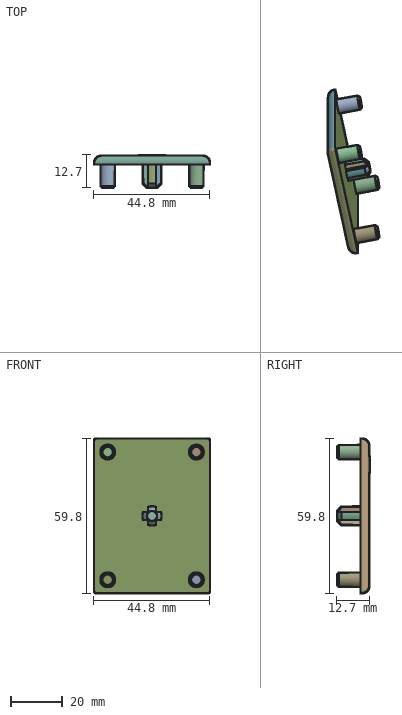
import cadquery as cq
import math

PLATE_WIDTH = 44.8
PLATE_HEIGHT = 59.8
RIM_THICKNESS = 0.5
EDGE_RADIUS = 3.0
PLATE_THICKNESS = RIM_THICKNESS + EDGE_RADIUS
CORNER_RADIUS = 1.0

PAD_LENGTH = 10.0
PAD_HEIGHT = 6.2
PAD_RAISE = 0.2
PAD_CENTER_Z = 19.8

PEG_LENGTH = 9.0
DRAFT_ANGLE = 0.5
PEG_INSET = 5.3
PEG_BASE_RADIUS = 2.85
PEG_TIP_RADIUS = 2.05
PEG_CHAMFER_LENGTH = 0.8

CROSS_BASE_RADIUS = 3.75
CROSS_TIP_RADIUS = 1.95
CROSS_CHAMFER_LENGTH = 1.65
CROSS_ARM_WIDTH = 3.0


def rounded_slab(plane, span, length):
    """Bar whose section has a straight rim and quarter-round outer edges."""
    half = span / 2
    flat = half - EDGE_RADIUS
    bulge = EDGE_RADIUS * math.sqrt(0.5)
    arc_y = RIM_THICKNESS + bulge
    return (
        cq.Workplane(plane)
        .moveTo(-half, 0)
        .lineTo(half, 0)
        .lineTo(half, RIM_THICKNESS)
        .threePointArc((flat + bulge, arc_y), (flat, PLATE_THICKNESS))
        .lineTo(-flat, PLATE_THICKNESS)
        .threePointArc((-flat - bulge, arc_y), (-half, RIM_THICKNESS))
        .close()
        .extrude(length / 2, both=True)
    )


def make_plate():
    """Plate with rounded outer edges on all four sides and softened corners."""
    upright_plane = cq.Plane(origin=(0, 0, 0), xDir=(0, 0, -1), normal=(1, 0, 0))
    across = rounded_slab("XY", PLATE_WIDTH, PLATE_HEIGHT)
    upright = rounded_slab(upright_plane, PLATE_HEIGHT, PLATE_WIDTH)
    plate = across.intersect(upright)
    return plate.edges("|Y").fillet(CORNER_RADIUS)


def make_pad():
    """Oval pad standing slightly proud of the outer face."""
    return (
        cq.Workplane("XZ")
        .center(0, PAD_CENTER_Z)
        .ellipse(PAD_LENGTH / 2, PAD_HEIGHT / 2)
        .extrude(-(PLATE_THICKNESS + PAD_RAISE))
    )


def tapered_pin(base_radius, tip_radius, chamfer_length):
    """Drafted round pin along -Y from the mounting face, with a conical lead-in."""
    shank_length = PEG_LENGTH - chamfer_length
    shank_end_radius = base_radius - shank_length * math.tan(math.radians(DRAFT_ANGLE))
    return (
        cq.Workplane("XY")
        .moveTo(0, 0)
        .lineTo(base_radius, 0)
        .lineTo(shank_end_radius, -shank_length)
        .lineTo(tip_radius, -PEG_LENGTH)
        .lineTo(0, -PEG_LENGTH)
        .close()
        .revolve(360, (0, 0), (0, 1))
    )


def make_cross_peg():
    """Central peg: a tapered pin trimmed to a plus-shaped section."""
    arm_span = 2 * CROSS_BASE_RADIUS
    arms = (
        cq.Workplane("XZ")
        .rect(arm_span, CROSS_ARM_WIDTH)
        .extrude(PEG_LENGTH)
        .union(cq.Workplane("XZ").rect(CROSS_ARM_WIDTH, arm_span).extrude(PEG_LENGTH))
    )
    return tapered_pin(CROSS_BASE_RADIUS, CROSS_TIP_RADIUS, CROSS_CHAMFER_LENGTH).intersect(arms)


peg_x = PLATE_WIDTH / 2 - PEG_INSET
peg_z = PLATE_HEIGHT / 2 - PEG_INSET
corner_peg = tapered_pin(PEG_BASE_RADIUS, PEG_TIP_RADIUS, PEG_CHAMFER_LENGTH)

result = make_plate().union(make_pad()).union(make_cross_peg())
for side_x in (-1, 1):
    for side_z in (-1, 1):
        result = result.union(corner_peg.translate((side_x * peg_x, 0, side_z * peg_z)))